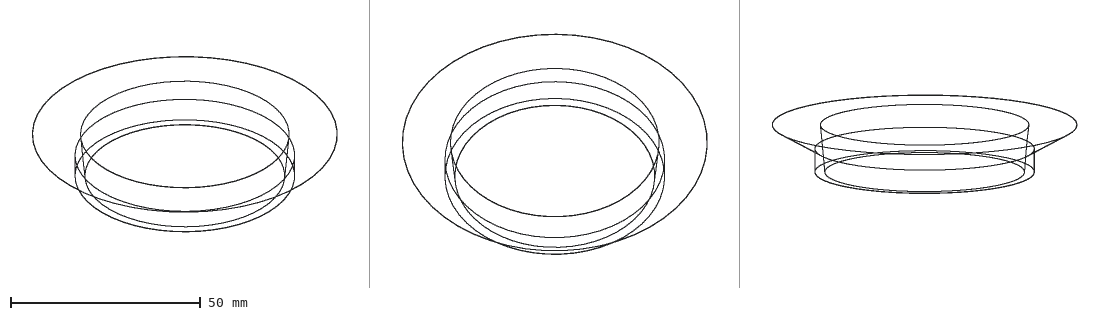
import cadquery as cq

flange_diameter = 80.3
total_height = 12.7

collar_diameter = 57.8
collar_height = 6.3

bore_top_diameter = 54.9
bore_bottom_diameter = 52.6

half_section = (
    cq.Workplane("XZ")
    .moveTo(bore_bottom_diameter / 2, 0)
    .lineTo(collar_diameter / 2, 0)
    .lineTo(collar_diameter / 2, collar_height)
    .lineTo(flange_diameter / 2, total_height)
    .lineTo(bore_top_diameter / 2, total_height)
    .close()
)

result = half_section.revolve(360, (0, 0, 0), (0, 1, 0))